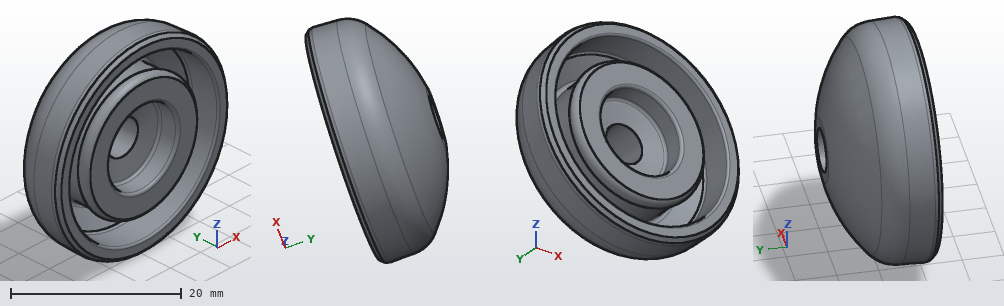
import cadquery as cq
import math

height = 11.48
outer_radius = 14.5
rim_radius = 13.9
chamfer_radius = 14.38
chamfer_depth = 0.55
wall_start = 1.02
wall_end = 4.03
wall_end_radius = 14.38
shoulder_radius = 12.9
shoulder_depth = 7.08
dome_curve = 19.43
dome_flat_radius = 3.85

hole_radius = 2.6
boss_recess = 0.12
seat_mouth_radius = 6.15
seat_wall_radius = 5.75
seat_mouth_round = seat_mouth_radius - seat_wall_radius
seat_floor_radius = 5.42
seat_wall_end = 2.75
seat_floor_depth = 3.1
cone_depth = 3.6
bead_face_radius = 8.93
bead_bulge_radius = 9.48
bead_center_depth = 1.05
neck_radius = 9.1
neck_start = 2 * bead_center_depth - boss_recess

groove_mouth_radius = 12.7
groove_wall_radius = 12.4
groove_mouth_round = groove_mouth_radius - groove_wall_radius
groove_wall_end = 4.2
floor_outer_radius = 12.12
floor_outer_depth = 4.52
floor_inner_radius = 9.77
floor_inner_depth = 6.24
neck_round_depth = 5.95

DIAGONAL = math.sqrt(0.5)


def quarter_round(radius, depth, size):
    """Midpoint of a convex round ending on a bore wall at radius, from a face at depth."""
    return (radius + size * (1 - DIAGONAL), depth + size * (1 - DIAGONAL))


def dome_midpoint():
    """Point midway along the dome arc, offset from its chord by the arc's sagitta."""
    dr = shoulder_radius - dome_flat_radius
    dy = height - shoulder_depth
    chord = math.hypot(dr, dy)
    sagitta = dome_curve - math.sqrt(dome_curve ** 2 - (chord / 2) ** 2)
    middle_radius = (shoulder_radius + dome_flat_radius) / 2
    middle_depth = (shoulder_depth + height) / 2
    return (middle_radius + sagitta * dy / chord, middle_depth + sagitta * dr / chord)


profile = (
    cq.Workplane("XY")
    .moveTo(hole_radius, height)
    .lineTo(hole_radius, cone_depth)
    .lineTo(seat_floor_radius, seat_floor_depth)
    .tangentArcPoint((seat_wall_radius, seat_wall_end), relative=False)
    .lineTo(seat_wall_radius, boss_recess + seat_mouth_round)
    .threePointArc(
        quarter_round(seat_wall_radius, boss_recess, seat_mouth_round),
        (seat_mouth_radius, boss_recess),
    )
    .lineTo(bead_face_radius, boss_recess)
    .threePointArc((bead_bulge_radius, bead_center_depth), (neck_radius, neck_start))
    .lineTo(neck_radius, neck_round_depth)
    .tangentArcPoint((floor_inner_radius, floor_inner_depth), relative=False)
    .lineTo(floor_outer_radius, floor_outer_depth)
    .threePointArc(
        (
            floor_outer_radius + (groove_wall_radius - floor_outer_radius) * DIAGONAL,
            groove_wall_end + (floor_outer_depth - groove_wall_end) * DIAGONAL,
        ),
        (groove_wall_radius, groove_wall_end),
    )
    .lineTo(groove_wall_radius, groove_mouth_round)
    .threePointArc(
        quarter_round(groove_wall_radius, 0, groove_mouth_round),
        (groove_mouth_radius, 0),
    )
    .lineTo(rim_radius, 0)
    .lineTo(chamfer_radius, chamfer_depth)
    .lineTo(outer_radius, wall_start)
    .lineTo(wall_end_radius, wall_end)
    .tangentArcPoint((shoulder_radius, shoulder_depth), relative=False)
    .threePointArc(dome_midpoint(), (dome_flat_radius, height))
    .close()
)
result = profile.revolve(360, (0, 0, 0), (0, 1, 0))